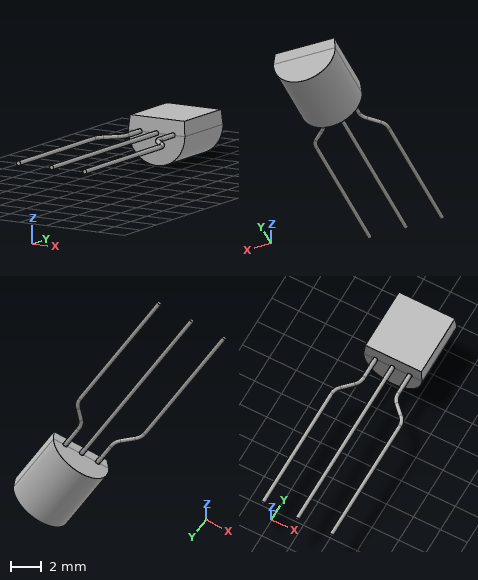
import cadquery as cq
import math

housing_radius = 2.175
housing_length = 4.75
upper_height = 1.0
taper_angle = 5.0

lead_diameter = 0.32
inner_pitch = 1.27
outer_pitch = 2.54
lead_length = 13.0
straight_length = 1.59
bend_angle = 45.0
bend_radius = 1.0

embedded_length = 1.0

bend = math.radians(bend_angle)
bend_shift = bend_radius * (1 - math.cos(bend))
bend_drop = bend_radius * math.sin(bend)
half_bend_shift = bend_radius * (1 - math.cos(bend / 2))
half_bend_drop = bend_radius * math.sin(bend / 2)
slant_shift = outer_pitch - inner_pitch - 2 * bend_shift
slant_drop = slant_shift / math.tan(bend)


def make_housing_blank():
    lower = (
        cq.Workplane("XZ")
        .moveTo(-housing_radius, 0)
        .threePointArc((0, -housing_radius), (housing_radius, 0))
        .close()
        .extrude(-housing_length)
    )
    upper = (
        cq.Workplane("XY")
        .center(0, housing_length / 2)
        .rect(2 * housing_radius, housing_length)
        .extrude(upper_height, taper=taper_angle)
    )
    return lower.union(upper)


def sweep_wire(root_x, path):
    return (
        cq.Workplane("XZ", origin=(root_x, embedded_length, 0))
        .circle(lead_diameter / 2)
        .sweep(path)
    )


def middle_lead():
    path = cq.Workplane("XY").moveTo(0, embedded_length).lineTo(0, -lead_length)
    return sweep_wire(0, path)


def outer_lead(side):
    """Splayed lead on the side given by -1 (left) or +1 (right)."""
    inner_x = side * inner_pitch
    outer_x = side * outer_pitch
    slant_start = (inner_x + side * bend_shift, -straight_length - bend_drop)
    slant_end = (outer_x - side * bend_shift, slant_start[1] - slant_drop)
    outer_start = (outer_x, slant_end[1] - bend_drop)
    inner_middle = (inner_x + side * half_bend_shift, -straight_length - half_bend_drop)
    outer_middle = (outer_x - side * half_bend_shift, outer_start[1] + half_bend_drop)
    path = (
        cq.Workplane("XY")
        .moveTo(inner_x, embedded_length)
        .lineTo(inner_x, -straight_length)
        .threePointArc(inner_middle, slant_start)
        .lineTo(*slant_end)
        .threePointArc(outer_middle, outer_start)
        .lineTo(outer_x, -lead_length)
    )
    return sweep_wire(inner_x, path)


def make_lead_frame():
    bar_length = 2 * inner_pitch + lead_diameter
    frame = (
        cq.Workplane("XY")
        .box(bar_length, lead_diameter, lead_diameter)
        .translate((0, embedded_length, 0))
    )
    frame = frame.union(middle_lead())
    for side in (-1, 1):
        frame = frame.union(outer_lead(side))
    return frame


lead_frame = make_lead_frame()
housing = make_housing_blank().cut(lead_frame)

result = cq.Compound.makeCompound([housing.val(), lead_frame.val()])